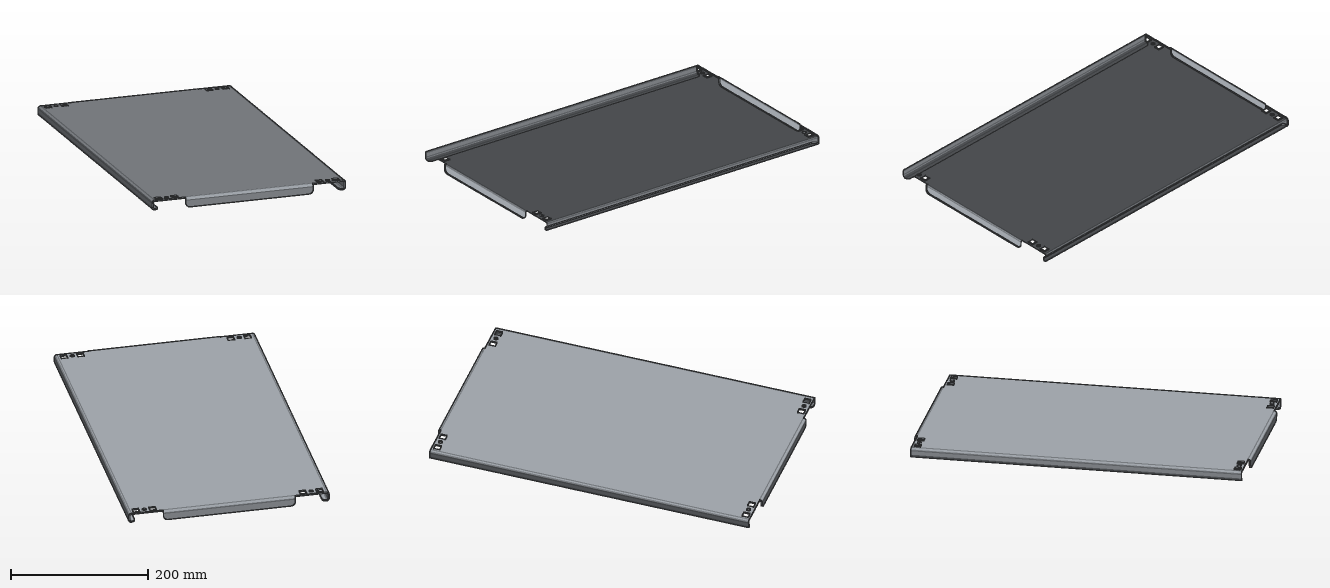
import cadquery as cq

length = 499.0
width = 300.0
height = 15.0

sheet = 2.25
bend_radius = 4.0
inner_bend_radius = bend_radius - sheet

panel_length = length - 2 * bend_radius
lip_reach = 10.0
lip_corner_radius = 5.5
end_flange_width = 197.0
end_flange_corner_radius = 6.5

hole_x = 237.5
middle_hole_y = 124.8
hole_pitch = 12.5
square_hole = 9.5
round_hole_diameter = 6.0


def make_panel():
    """Flat panel with both long sides folded into inward-facing C channels and rounded lip corners."""
    half_width = width / 2
    outer = (
        cq.Workplane("YZ")
        .rect(width, height)
        .extrude(panel_length / 2, both=True)
        .edges("|X")
        .fillet(bend_radius)
    )
    inner = (
        cq.Workplane("YZ")
        .rect(width - 2 * sheet, height - 2 * sheet)
        .extrude(panel_length / 2, both=True)
        .edges("|X")
        .fillet(inner_bend_radius)
    )
    lip_gap = (
        cq.Workplane("XY")
        .box(panel_length, 2 * (half_width - lip_reach), height / 2)
        .translate((0, 0, -height / 4 - sheet))
    )
    panel = outer.cut(inner).cut(lip_gap)
    lip_corners = cq.selectors.BoxSelector(
        (-length, -half_width + bend_radius, -height),
        (length, half_width - bend_radius, 0),
    )
    return panel.edges("|Z").edges(lip_corners).fillet(lip_corner_radius)


def make_end_flange():
    """Downward flange at +X, with its bend and rounded lower corners."""
    top = height / 2
    bend_start = panel_length / 2
    wall_outer = length / 2
    bend_center_z = top - bend_radius
    diagonal = 0.5 ** 0.5
    outer_mid = bend_radius * diagonal
    inner_mid = inner_bend_radius * diagonal
    flange = (
        cq.Workplane("XZ")
        .moveTo(bend_start, top)
        .threePointArc((bend_start + outer_mid, bend_center_z + outer_mid), (wall_outer, bend_center_z))
        .lineTo(wall_outer, -top)
        .lineTo(wall_outer - sheet, -top)
        .lineTo(wall_outer - sheet, bend_center_z)
        .threePointArc((bend_start + inner_mid, bend_center_z + inner_mid), (bend_start, top - sheet))
        .close()
        .extrude(end_flange_width / 2, both=True)
    )
    return flange.faces("<Z").edges("|X").fillet(end_flange_corner_radius)


def make_holes():
    """A round hole between two square holes at each corner, through the top sheet only."""
    sheet_underside = cq.Workplane("XY", origin=(0, 0, height / 2 - sheet))
    square_rows = (middle_hole_y - hole_pitch, middle_hole_y + hole_pitch)
    holes = (
        sheet_underside.rect(2 * hole_x, 2 * middle_hole_y, forConstruction=True)
        .vertices()
        .circle(round_hole_diameter / 2)
        .extrude(sheet)
    )
    for row_y in square_rows:
        holes = holes.union(
            sheet_underside.rect(2 * hole_x, 2 * row_y, forConstruction=True)
            .vertices()
            .rect(square_hole, square_hole)
            .extrude(sheet)
        )
    return holes


end_flange = make_end_flange()
shelf = make_panel().union(end_flange).union(end_flange.mirror("YZ"))
result = shelf.cut(make_holes())